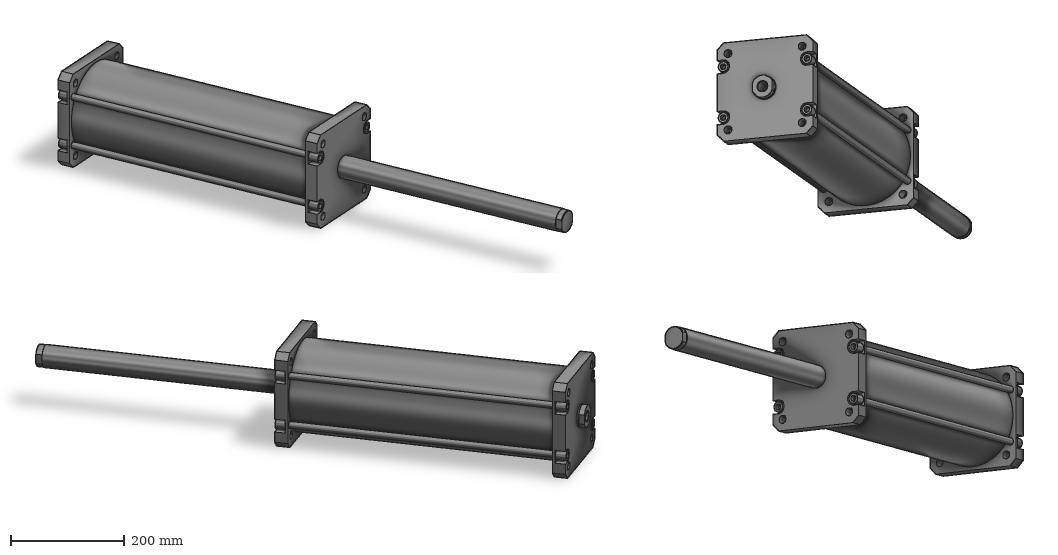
import cadquery as cq
import math

total_length = 1012.0
plate_size = 180.0
plate_thickness = 24.0
plate_corner_chamfer = 12.0
left_plate_x = 13.0
barrel_length = 488.0
barrel_radius = 84.0

mount_hole_offset = 70.0
mount_hole_radius = 7.0

tie_rod_y = 79.0
tie_rod_z = 47.0
tie_rod_radius = 6.0
head_radius = 9.0
head_length = 19.0
socket_radius = 5.0
socket_depth = 9.0
pocket_radius = 12.0

rod_radius = 20.7
rod_end_radius = 20.0
flats_width = 36.0
left_end_length = 10.0
right_end_length = 12.0
right_end_chamfer = 1.0
end_hole_radius = 9.0
end_hole_depth = 30.0
end_hole_countersink = 1.0
drill_point_angle = 118.0

barrel_x = left_plate_x + plate_thickness
right_plate_x = barrel_x + barrel_length
right_plate_end_x = right_plate_x + plate_thickness
tie_rod_points = [(y, z) for y in (-tie_rod_y, tie_rod_y) for z in (-tie_rod_z, tie_rod_z)]


def cross_section(x):
    """Workplane across the axis at x, with local coordinates (Y, Z) and extrusion toward +X."""
    return cq.Workplane("YZ", origin=(x, 0, 0))


def make_pocket(x, y, z):
    """Round-ended slot that holds a tie rod head and opens through the nearest Y side."""
    slot_length = plate_size / 2 - abs(y)
    slot_y = math.copysign(abs(y) + slot_length / 2, y)
    slot = cross_section(x).center(slot_y, z).rect(slot_length, 2 * pocket_radius).extrude(head_length)
    return slot.union(cross_section(x).center(y, z).circle(pocket_radius).extrude(head_length))


def make_plate(x, pocket_x):
    """Chamfered square end plate from x to x + plate_thickness, its pockets starting at pocket_x."""
    plate = cross_section(x).rect(plate_size, plate_size).extrude(plate_thickness)
    plate = plate.edges("|X").chamfer(plate_corner_chamfer)
    mount_spacing = 2 * mount_hole_offset
    mount_holes = (
        cross_section(x).rect(mount_spacing, mount_spacing, forConstruction=True).vertices()
        .circle(mount_hole_radius).extrude(plate_thickness)
    )
    tie_rod_holes = cross_section(x).pushPoints(tie_rod_points).circle(tie_rod_radius).extrude(plate_thickness)
    rod_hole = cross_section(x).circle(rod_radius).extrude(plate_thickness)
    plate = plate.cut(mount_holes).cut(tie_rod_holes).cut(rod_hole)
    for y, z in tie_rod_points:
        plate = plate.cut(make_pocket(pocket_x, y, z))
    return plate


def make_barrel():
    """Cylinder between the plates, bored for the piston rod."""
    return cross_section(barrel_x).circle(barrel_radius).circle(rod_radius).extrude(barrel_length)


def make_tie_rod(y, z):
    """Tie rod with a head flush with the outer face of each plate and a round socket in each head."""
    shank_length = right_plate_end_x - left_plate_x
    right_head_x = right_plate_end_x - head_length
    right_socket_x = right_plate_end_x - socket_depth
    tie_rod = cross_section(left_plate_x).center(y, z).circle(tie_rod_radius).extrude(shank_length)
    for head_x in (left_plate_x, right_head_x):
        tie_rod = tie_rod.union(cross_section(head_x).center(y, z).circle(head_radius).extrude(head_length))
    for socket_x in (left_plate_x, right_socket_x):
        tie_rod = tie_rod.cut(cross_section(socket_x).center(y, z).circle(socket_radius).extrude(socket_depth))
    return tie_rod


def make_end_hole():
    """Countersunk blind hole with a conical drill point, entering the left end of the rod."""
    point_depth = end_hole_radius / math.tan(math.radians(drill_point_angle / 2))
    return (
        cq.Workplane("XY")
        .moveTo(0, 0)
        .lineTo(0, end_hole_radius + end_hole_countersink)
        .lineTo(end_hole_countersink, end_hole_radius)
        .lineTo(end_hole_depth, end_hole_radius)
        .lineTo(end_hole_depth + point_depth, 0)
        .close()
        .revolve(360, (0, 0, 0), (1, 0, 0))
    )


def across_flats_box(x, length):
    """Block whose Y sides are the wrench flats of a rod end from x to x + length."""
    return cross_section(x).rect(flats_width, 2 * rod_end_radius).extrude(length)


def make_piston_rod():
    """Rod through the whole cylinder, chamfered at the right end and with a hole in the left end."""
    right_end_x = total_length - right_end_length
    rod = cross_section(left_end_length).circle(rod_radius).extrude(right_end_x - left_end_length)
    left_end = cross_section(0).circle(rod_end_radius).extrude(left_end_length)
    left_end = left_end.intersect(across_flats_box(0, left_end_length))
    right_end = cross_section(right_end_x).circle(rod_end_radius).extrude(right_end_length)
    right_end = right_end.faces(">X").chamfer(right_end_chamfer)
    right_end = right_end.intersect(across_flats_box(right_end_x, right_end_length))
    return rod.union(left_end).union(right_end).cut(make_end_hole())


left_plate = make_plate(left_plate_x, left_plate_x)
right_plate = make_plate(right_plate_x, right_plate_end_x - head_length)
barrel = make_barrel()
piston_rod = make_piston_rod()
tie_rods = [make_tie_rod(y, z).val() for y, z in tie_rod_points]

result = cq.Compound.makeCompound(
    [left_plate.val(), right_plate.val(), barrel.val(), piston_rod.val(), *tie_rods]
)